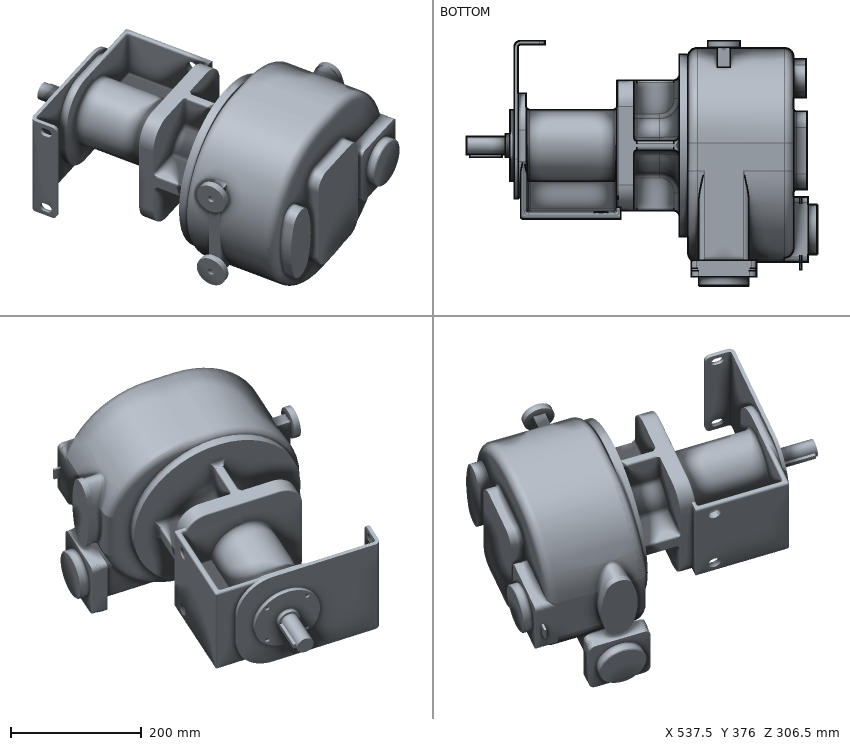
import cadquery as cq
import math


TOLERANCE = 0.05

SHAFT_D = 28.0
COLLAR_D = 36.5
COLLAR_X = 59.5
KEY_START = 5.0
KEY_LENGTH = 49.5
KEY_WIDTH = 8.0
KEY_TOP = 18.0

CAP_D = 110.0
CAP_X = 66.5
CAP_SCREW_D = 7.5
CAP_SCREW_DEPTH = 4.0
CAP_SCREW_OFFSET = 33.6

BRACKET_X = 73.0
BRACKET_T = 6.0
BRACKET_HALF_Z = 90.0
BRACKET_Y_MAX = 81.5
BRACKET_Y_MIN = -160.5
BRACKET_CORNER_R = 61.0
FOOT_LENGTH = 47.5
FOOT_CORNER_R = 9.0
BEND_R = 10.0
SLOT_X = 101.0
SLOT_Z = 75.0
SLOT_LENGTH = 20.5
SLOT_WIDTH = 15.0

END_FLANGE_X = BRACKET_X + BRACKET_T
END_FLANGE_END = 91.5
END_FLANGE_SIZE = 160.0
END_FLANGE_R = 56.0
BARREL_D = 110.0
BARREL_FILLET = 5.0

BOX_X = 83.0
BOX_END = 236.5
BOX_Y = 112.5
BOX_HALF_Z = 80.0
BOX_WALL = 9.5
BOX_EDGE_R = 3.5
WEB_T = 7.0
POCKET_TAPER = 2.5
POCKET_FILLET = 3.0
WALL_HOLE_D = 20.0
WALL_HOLE_X = 206.0
WALL_HOLE_Z = 60.0

SQUARE_X = 230.2
SQUARE_T = 26.3
SQUARE_SIZE = 200.0
SQUARE_R = 40.0
SQUARE_EDGE_R = 2.3
HUB_R = 45.0
HUB_FLARE_R = 30.0
RIB_T_VERTICAL = 14.5
RIB_T_LATERAL = 24.5
RIB_EDGE_R = 3.5
RIB_ROOT_R = 8.0
HUB_BASE_R = 4.5
ROUND_FLANGE_X = 325.5
ROUND_FLANGE_R = 140.0

CASING_X = 339.0
CASING_END = 501.0
CASING_R = 145.5
CASING_Y_RIGHT = -4.0
CASING_Y_LEFT = 39.0
CASING_FLAT_Y = 178.5
CASING_FILLET = 14.5

PORT_SIZE = 100.0
PORT_CORNER_R = 8.0
OUTLET_CORNER_R = 11.0
STUB_D = 77.0
STUB_L = 14.5
STUB_CHAMFER = 1.5
GASKET_T = 3.5
GASKET_CORNER_R = 9.5
GASKET_TO_FACE = 9.5
PORT_X = 394.0
OUTLET_Z = -111.0
OUTLET_Y = 176.0
OUTLET_T = 25.0
DUCT_TOP = -75.0
DUCT_EDGE_R = 8.5
INLET_Y = 128.5
INLET_Z = -9.5
INLET_T = 22.0
TAB_Y = 190.5
TAB_WIDTH = 20.0

OVAL_WIDTH = 60.0
OVAL_HEIGHT = 130.0
OVAL_RISE = 14.5
OVAL_SHOULDER = 41.5
NECK_FILLET = 3.0
SIDE_OVAL_Z = 14.0
SIDE_OVAL_Y = 199.0
SIDE_OVAL_T = 9.0
END_OVAL_Y = -103.0
END_OVAL_X = 520.0
COVER_WIDTH = 120.0
COVER_HEIGHT = 180.0
COVER_R = 24.5
COVER_Y = 7.5
COVER_X = 521.5
COVER_FILLET = 4.0

BOSS_D = 50.0
BOSS_Y = -150.0
BOSS_HOLE_D = 11.0
BOSS_HOLE_DEPTH = 10.0
BOSS_Z = (66.5, -78.5)
BAR_WIDTH = 19.5
BAR_DEPTH = 30.0
BAR_END = 11.0


def along_x(x):
    """Work plane facing +X whose local axes are Y and Z."""
    return cq.Workplane("YZ", origin=(x, 0, 0))


def along_y(y):
    """Work plane facing -Y whose local axes are X and Z."""
    return cq.Workplane("XZ", origin=(0, y, 0))


def box_between(low, high):
    size = [b - a for a, b in zip(low, high)]
    return cq.Workplane("XY").box(*size, centered=False).translate(low)


def axis_distance(edge):
    """Distance from the shaft axis to the middle of the box around an edge."""
    centre = edge.BoundingBox().center
    return math.hypot(centre.y, centre.z)


def make_shaft():
    shaft = along_x(0).circle(SHAFT_D / 2).extrude(COLLAR_X)
    collar = along_x(COLLAR_X).circle(COLLAR_D / 2).extrude(CAP_X - COLLAR_X)
    half_key = KEY_WIDTH / 2
    key = box_between((KEY_START, 0, -half_key), (KEY_START + KEY_LENGTH, KEY_TOP, half_key))
    return shaft.union(collar).union(key)


def make_cap():
    cap = along_x(CAP_X).circle(CAP_D / 2).extrude(BRACKET_X - CAP_X)
    spacing = 2 * CAP_SCREW_OFFSET
    screws = along_x(CAP_X).rect(spacing, spacing, forConstruction=True).vertices()
    return cap.cut(screws.circle(CAP_SCREW_D / 2).extrude(CAP_SCREW_DEPTH))


def make_bracket():
    plate = box_between(
        (BRACKET_X, BRACKET_Y_MIN, -BRACKET_HALF_Z),
        (BRACKET_X + BRACKET_T, BRACKET_Y_MAX, BRACKET_HALF_Z),
    )
    plate = plate.edges("|X and >Y").fillet(BRACKET_CORNER_R)
    foot = box_between(
        (BRACKET_X, BRACKET_Y_MIN, -BRACKET_HALF_Z),
        (BRACKET_X + FOOT_LENGTH, BRACKET_Y_MIN + BRACKET_T, BRACKET_HALF_Z),
    )
    foot = foot.edges("|Y and >X").fillet(FOOT_CORNER_R)
    bracket = plate.union(foot)
    bracket = bracket.edges("|Z and <X and <Y").fillet(BEND_R)
    inner_corner = cq.selectors.NearestToPointSelector((BRACKET_X + BRACKET_T, BRACKET_Y_MIN + BRACKET_T, 0))
    bracket = bracket.edges("|Z").edges(inner_corner).fillet(BEND_R - BRACKET_T)
    slots = (
        along_y(BRACKET_Y_MIN + BRACKET_T)
        .pushPoints([(SLOT_X, SLOT_Z), (SLOT_X, -SLOT_Z)])
        .slot2D(SLOT_LENGTH, SLOT_WIDTH)
        .extrude(BRACKET_T)
    )
    return bracket.cut(slots)


def make_barrel():
    """Barrel whose two ends flare out with a concave fillet."""
    r = BARREL_D / 2
    f = BARREL_FILLET
    lean = f * math.sqrt(0.5)
    start = END_FLANGE_END
    end = SQUARE_X
    return (
        cq.Workplane("XY")
        .moveTo(start, 0)
        .lineTo(start, r + f)
        .threePointArc((start + f - lean, r + f - lean), (start + f, r))
        .lineTo(end - f, r)
        .threePointArc((end - f + lean, r + f - lean), (end, r + f))
        .lineTo(end, 0)
        .close()
        .revolve(360, (0, 0, 0), (1, 0, 0))
    )


def make_end_flange():
    flange = along_x(END_FLANGE_X).rect(END_FLANGE_SIZE, END_FLANGE_SIZE)
    return flange.extrude(END_FLANGE_END - END_FLANGE_X).edges("|X").fillet(END_FLANGE_R)


def make_pocket():
    """Tapered pocket above the web, rounded at the bottom, open towards the barrel."""
    length = SQUARE_X - END_FLANGE_END
    inner_y = BOX_Y - BOX_WALL
    pocket = (
        cq.Workplane("XY", origin=(END_FLANGE_END + length / 2, 0, BOX_HALF_Z))
        .rect(length, 2 * inner_y)
        .extrude(WEB_T / 2 - BOX_HALF_Z, taper=POCKET_TAPER)
    )
    return pocket.edges("not >Z").fillet(POCKET_FILLET)


def make_box_wall():
    """End wall and side wall of the box, tied to the barrel by a level web."""
    block = box_between((BOX_X, 0, -BOX_HALF_Z), (BOX_END, BOX_Y, BOX_HALF_Z))
    block = block.edges("(>Y and |X) or (<X and |Y) or (<X and >Y)").fillet(BOX_EDGE_R)
    pocket = make_pocket()
    overhang = box_between((SQUARE_X, 0, -BOX_HALF_Z), (BOX_END, SQUARE_SIZE / 2 - BOX_WALL, BOX_HALF_Z))
    holes = (
        along_y(BOX_Y)
        .pushPoints([(WALL_HOLE_X, WALL_HOLE_Z), (WALL_HOLE_X, -WALL_HOLE_Z)])
        .circle(WALL_HOLE_D / 2)
        .extrude(2 * BOX_WALL)
    )
    wall = block.cut(pocket).cut(pocket.mirror("XY"))

    def is_inner_rim(edge):
        box = edge.BoundingBox()
        on_rim = box.zlen < TOLERANCE and abs(box.zmax) > BOX_HALF_Z - TOLERANCE
        inside = box.ymax < BOX_Y - BOX_WALL + TOLERANCE
        within_pocket = box.xmin > END_FLANGE_END - TOLERANCE and box.xmax < SQUARE_X + TOLERANCE
        return on_rim and inside and within_pocket

    wall = wall.edges().filter(is_inner_rim).fillet(BOX_EDGE_R)
    return wall.cut(overhang).cut(holes)


def make_square_flange():
    flange = along_x(SQUARE_X).rect(SQUARE_SIZE, SQUARE_SIZE).extrude(SQUARE_T)
    return flange.edges("|X").fillet(SQUARE_R).faces("<X").edges().fillet(SQUARE_EDGE_R)


def make_ribbed_hub():
    """Flared hub with four ribs between the square flange and the round flange."""
    start = SQUARE_X + SQUARE_T
    end = ROUND_FLANGE_X
    f = HUB_FLARE_R
    lean = f * math.sqrt(0.5)
    hub = (
        cq.Workplane("XY")
        .moveTo(start, 0)
        .lineTo(start, HUB_R)
        .lineTo(end - f, HUB_R)
        .threePointArc((end - f + lean, HUB_R + f - lean), (end, HUB_R + f))
        .lineTo(end, 0)
        .close()
        .revolve(360, (0, 0, 0), (1, 0, 0))
    )
    vertical = along_x(start).rect(RIB_T_VERTICAL, SQUARE_SIZE).extrude(end - start)
    lateral = along_x(start).rect(SQUARE_SIZE, RIB_T_LATERAL).extrude(end - start)
    return hub.union(vertical).union(lateral)


def make_round_flange():
    return along_x(ROUND_FLANGE_X).circle(ROUND_FLANGE_R).extrude(CASING_X - ROUND_FLANGE_X)


def make_lantern():
    """Square flange, ribbed hub and round flange as one casting with blended ribs.

    The rib tips are rounded only between the fillets at their two ends.
    """
    start = SQUARE_X + SQUARE_T
    end = ROUND_FLANGE_X
    body = make_ribbed_hub().union(make_round_flange()).union(make_square_flange())
    rib_tip = SQUARE_SIZE / 2

    def between_flanges(edge):
        box = edge.BoundingBox()
        return box.xmin > start - TOLERANCE and box.xmax < end + TOLERANCE

    def is_rib_root(edge):
        along_hub = edge.BoundingBox().xlen > TOLERANCE and axis_distance(edge) < HUB_R + HUB_FLARE_R
        on_flange = edge.BoundingBox().xmin > end - TOLERANCE
        beside_rib = HUB_R + HUB_FLARE_R < axis_distance(edge) < ROUND_FLANGE_R - TOLERANCE
        on_rib = on_flange and beside_rib
        return between_flanges(edge) and (along_hub or on_rib)

    def is_hub_base(edge):
        on_flange = edge.BoundingBox().xmax < start + TOLERANCE
        return between_flanges(edge) and on_flange and axis_distance(edge) < rib_tip - RIB_EDGE_R

    body = body.edges().filter(is_rib_root).fillet(RIB_ROOT_R)
    body = body.edges().filter(is_hub_base).fillet(HUB_BASE_R)
    round_start = start + HUB_BASE_R
    round_length = end - RIB_ROOT_R - round_start
    for width, height in ((RIB_T_VERTICAL, SQUARE_SIZE), (SQUARE_SIZE, RIB_T_LATERAL)):
        square_bar = along_x(round_start).rect(width, height).extrude(round_length)
        body = body.cut(square_bar.cut(square_bar.edges("|X").fillet(RIB_EDGE_R)))
    return body


def make_casing():
    """Stadium-shaped casing whose far left side is cut flat."""
    reach = CASING_FLAT_Y - CASING_Y_LEFT
    flat_z = math.sqrt(CASING_R ** 2 - reach ** 2)
    half_angle = (math.pi / 2 + math.atan2(flat_z, reach)) / 2
    mid_y = CASING_Y_LEFT + CASING_R * math.cos(half_angle)
    mid_z = CASING_R * math.sin(half_angle)
    casing = (
        along_x(CASING_X)
        .moveTo(CASING_Y_LEFT, CASING_R)
        .lineTo(CASING_Y_RIGHT, CASING_R)
        .threePointArc((CASING_Y_RIGHT - CASING_R, 0), (CASING_Y_RIGHT, -CASING_R))
        .lineTo(CASING_Y_LEFT, -CASING_R)
        .threePointArc((mid_y, -mid_z), (CASING_FLAT_Y, -flat_z))
        .lineTo(CASING_FLAT_Y, flat_z)
        .threePointArc((mid_y, mid_z), (CASING_Y_LEFT, CASING_R))
        .close()
        .extrude(CASING_END - CASING_X)
    )
    return casing.faces("<X or >X").edges().fillet(CASING_FILLET)


def square_plate(plane, centre, size, thickness, corner_radius):
    plate = plane.center(*centre).rect(size, size).extrude(thickness)
    return plate.edges(cq.selectors.ParallelDirSelector(plane.plane.zDir)).fillet(corner_radius)


def make_outlet():
    """Tangential duct ending in a square flange and a round stub facing +Y."""
    face_y = OUTLET_Y + OUTLET_T
    gasket_y = face_y - GASKET_TO_FACE
    back_y = gasket_y - GASKET_T
    centre = (PORT_X, OUTLET_Z)
    front = square_plate(along_y(face_y), centre, PORT_SIZE, GASKET_TO_FACE, OUTLET_CORNER_R)
    gasket = square_plate(along_y(gasket_y), centre, PORT_SIZE, GASKET_T, GASKET_CORNER_R)
    back = square_plate(along_y(back_y), centre, PORT_SIZE, back_y - OUTLET_Y, PORT_CORNER_R)
    stub = along_y(face_y + STUB_L).center(*centre).circle(STUB_D / 2).extrude(STUB_L)
    stub = stub.faces(">Y").chamfer(STUB_CHAMFER)
    half = STUB_D / 2
    duct = box_between((PORT_X - half, CASING_Y_LEFT, -CASING_R), (PORT_X + half, OUTLET_Y, DUCT_TOP))
    duct = duct.edges("|Y").fillet(DUCT_EDGE_R)
    return front.union(gasket).union(back).union(stub).union(duct)


def make_inlet():
    """Square flange with a round stub facing +X and a small gasket tab."""
    start = CASING_END - CASING_FILLET
    face_x = CASING_END + INLET_T
    front_x = face_x - GASKET_TO_FACE
    gasket_x = front_x - GASKET_T
    centre = (INLET_Y, INLET_Z)
    back = square_plate(along_x(start), centre, PORT_SIZE, gasket_x - start, PORT_CORNER_R)
    gasket = square_plate(along_x(gasket_x), centre, PORT_SIZE, GASKET_T, GASKET_CORNER_R)
    front = square_plate(along_x(front_x), centre, PORT_SIZE, GASKET_TO_FACE, PORT_CORNER_R)
    stub = along_x(face_x).center(*centre).circle(STUB_D / 2).extrude(STUB_L)
    stub = stub.faces(">X").chamfer(STUB_CHAMFER)
    tab = box_between(
        (gasket_x, INLET_Y, INLET_Z - TAB_WIDTH / 2),
        (front_x, TAB_Y, INLET_Z + TAB_WIDTH / 2),
    )
    return back.union(gasket).union(front).union(stub).union(tab)


def oval(plane, u, v):
    """Upright oval of two long side arcs and two tight end arcs."""
    half_w = OVAL_WIDTH / 2
    half_h = OVAL_HEIGHT / 2
    join_u = OVAL_SHOULDER / 2
    join_v = half_h - OVAL_RISE
    return (
        plane.center(u, v)
        .moveTo(-join_u, -join_v)
        .threePointArc((0, -half_h), (join_u, -join_v))
        .threePointArc((half_w, 0), (join_u, join_v))
        .threePointArc((0, half_h), (-join_u, join_v))
        .threePointArc((-half_w, 0), (-join_u, -join_v))
        .close()
    )


def add_side_oval(body):
    """Oval cap on an elliptical neck that blends into the flat side of the casing."""
    cap = oval(along_y(SIDE_OVAL_Y), PORT_X, SIDE_OVAL_Z).extrude(SIDE_OVAL_T)
    neck_y = SIDE_OVAL_Y - SIDE_OVAL_T
    neck = along_y(neck_y).center(PORT_X, SIDE_OVAL_Z).ellipse(OVAL_WIDTH / 2, OVAL_HEIGHT / 2)
    neck = neck.extrude(neck_y - CASING_Y_LEFT)

    def is_root(edge):
        box = edge.BoundingBox()
        beside_neck = max(PORT_X - box.xmin, box.xmax - PORT_X) < OVAL_WIDTH / 2 + TOLERANCE
        return beside_neck and CASING_Y_LEFT < box.ymin and box.ymax < CASING_FLAT_Y + TOLERANCE

    return body.union(neck).edges().filter(is_root).fillet(NECK_FILLET).union(cap)


def add_rectangular_cover(body):
    """Rounded rectangular cover on the end of the casing, blended in at its root."""
    cover = along_x(CASING_END).center(COVER_Y, INLET_Z).rect(COVER_WIDTH, COVER_HEIGHT)
    cover = cover.extrude(COVER_X - CASING_END).edges("|X").fillet(COVER_R)

    def is_root(edge):
        box = edge.BoundingBox()
        in_end_face = box.xlen < TOLERANCE and abs(box.xmin - CASING_END) < TOLERANCE
        in_width = abs(edge.Center().y - COVER_Y) < COVER_WIDTH / 2 + TOLERANCE
        in_height = abs(edge.Center().z - INLET_Z) < COVER_HEIGHT / 2 + TOLERANCE
        return in_end_face and in_width and in_height

    return body.union(cover).edges().filter(is_root).fillet(COVER_FILLET)


def make_end_oval():
    start = CASING_END - CASING_FILLET
    return oval(along_x(start), END_OVAL_Y, INLET_Z).extrude(END_OVAL_X - start)


def make_drain_bosses():
    centres = [(PORT_X, z) for z in BOSS_Z]
    height = BOSS_Y - BRACKET_Y_MIN
    bosses = along_y(BOSS_Y).pushPoints(centres).circle(BOSS_D / 2).extrude(height)
    bar = box_between(
        (PORT_X - BAR_WIDTH / 2, BOSS_Y, min(BOSS_Z) - BAR_END),
        (PORT_X + BAR_WIDTH / 2, BOSS_Y + BAR_DEPTH, max(BOSS_Z) + BAR_END),
    )
    holes = (
        along_y(BRACKET_Y_MIN + BOSS_HOLE_DEPTH)
        .pushPoints(centres)
        .circle(BOSS_HOLE_D / 2)
        .extrude(BOSS_HOLE_DEPTH)
    )
    return bosses.union(bar).cut(holes)


casing = add_rectangular_cover(add_side_oval(make_casing()))

result = make_lantern()
for piece in (
    make_barrel(),
    make_end_flange(),
    make_box_wall(),
    make_bracket(),
    make_cap(),
    make_shaft(),
    casing,
    make_outlet(),
    make_inlet(),
    make_end_oval(),
    make_drain_bosses(),
):
    result = result.union(piece)